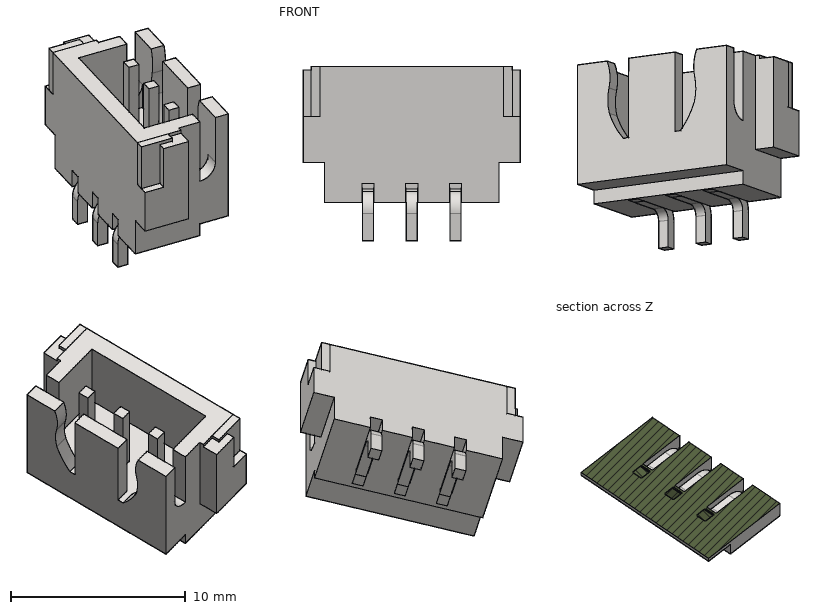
import cadquery as cq

WIDTH = 12.45
DEPTH = 6.0
HEIGHT = 7.8

BODY_WIDTH = 10.01
BACK_STEP_HEIGHT = 0.8

CAVITY_WIDTH = 8.19
CAVITY_FRONT = 1.06
CAVITY_FLOOR = 3.15

BACK_WALL = 0.83
REAR_SLOT_WIDTH = 1.0
REAR_SLOT_FLOOR = 3.74

MIDDLE_TONGUE_HALF = 1.56
SIDE_TONGUE_EDGE = 3.0

SWELL = 0.19
SWELL_DROP = 0.81
WAIST_START = 0.12
WAIST_START_DROP = 1.59
FLARE_START = 0.15
FLARE_START_DROP = 3.09
FLARE_MIDDLE = 0.52
FLARE_MIDDLE_DROP = 3.88
FLARE_END = 1.08

EAR_DEPTH = 2.81
EAR_BOTTOM = 2.29
EAR_TOP = 7.6
EAR_NOTCH_DEPTH = 1.2
SHOULDER_WIDTH = 10.53

TAB_THICKNESS = 0.5
TAB_DEPTH = 1.99
TAB_BOTTOM = 4.94

PIN_COUNT = 3
PIN_PITCH = 2.5
PIN_SIZE = 0.65
CONTACT_TIP = 7.6
CONTACT_FRONT = 3.3
TAIL_LENGTH = 2.19
BEND_INNER = 0.62
HEEL_RADIUS = 0.62
BEND_OUTER = BEND_INNER + PIN_SIZE

RELIEF_WIDTH = 0.71
RELIEF_HEIGHT = 1.11
RELIEF_DEPTH = 3.06

WALL_BACK_INNER = DEPTH - BACK_WALL
SLOT_FRONT = WALL_BACK_INNER - REAR_SLOT_WIDTH
PIN_XS = [(i - (PIN_COUNT - 1) / 2) * PIN_PITCH for i in range(PIN_COUNT)]


def block(x0, x1, y0, y1, z0, z1):
    """Box between two opposite corners."""
    return cq.Workplane("XY").box(x1 - x0, y1 - y0, z1 - z0, centered=False).translate((x0, y0, z0))


def centred_block(width, y0, y1, z0, z1):
    """Box that is symmetric about X = 0."""
    return block(-width / 2, width / 2, y0, y1, z0, z1)


def both_sides(shape):
    """The shape together with its mirror image across X = 0."""
    return shape.union(shape.mirror("YZ"))


def make_contact(x):
    """Straight square contact that stands in the cavity and reaches down to the underside."""
    return block(x - PIN_SIZE / 2, x + PIN_SIZE / 2, CONTACT_FRONT, CONTACT_FRONT + PIN_SIZE, 0, CONTACT_TIP)


def make_tail(x):
    """Square tail: curved heel against the contact, run along the underside, end bent down."""
    side = (
        cq.Workplane("YZ")
        .moveTo(0, -TAIL_LENGTH)
        .lineTo(0, -BEND_INNER)
        .radiusArc((BEND_OUTER, PIN_SIZE), BEND_OUTER)
        .lineTo(CONTACT_FRONT - HEEL_RADIUS, PIN_SIZE)
        .radiusArc((CONTACT_FRONT, PIN_SIZE + HEEL_RADIUS), -HEEL_RADIUS)
        .lineTo(CONTACT_FRONT, 0)
        .lineTo(BEND_OUTER, 0)
        .radiusArc((PIN_SIZE, -BEND_INNER), -BEND_INNER)
        .lineTo(PIN_SIZE, -TAIL_LENGTH)
        .close()
    )
    return side.extrude(PIN_SIZE / 2, both=True).translate((x, 0, 0))


def make_tab():
    """Flat tab on the +X side, flush with the front and the top of the housing."""
    inner = SHOULDER_WIDTH / 2
    return block(inner, inner + TAB_THICKNESS, 0, TAB_DEPTH, TAB_BOTTOM, HEIGHT)


def make_ears():
    """Side ears with the shoulders that rise to full height and the notched front corners."""
    ears = centred_block(WIDTH, 0, EAR_DEPTH, EAR_BOTTOM, EAR_TOP)
    shoulders = centred_block(SHOULDER_WIDTH, 0, EAR_DEPTH, EAR_BOTTOM, HEIGHT)
    notch_inner = SHOULDER_WIDTH / 2 + TAB_THICKNESS
    notch = block(notch_inner, WIDTH / 2, 0, EAR_NOTCH_DEPTH, TAB_BOTTOM, HEIGHT)
    return ears.cut(both_sides(notch)).union(shoulders)


def rear_window():
    """Window beside the middle tongue; the side tongue's edge swells, narrows and then flares."""
    edge = SIDE_TONGUE_EDGE
    profile = (
        cq.Workplane("XZ")
        .moveTo(MIDDLE_TONGUE_HALF, CAVITY_FLOOR)
        .lineTo(MIDDLE_TONGUE_HALF, HEIGHT)
        .lineTo(edge, HEIGHT)
        .threePointArc((edge - SWELL, HEIGHT - SWELL_DROP), (edge - WAIST_START, HEIGHT - WAIST_START_DROP))
        .tangentArcPoint((edge - FLARE_START, HEIGHT - FLARE_START_DROP), relative=False)
        .threePointArc((edge - FLARE_MIDDLE, HEIGHT - FLARE_MIDDLE_DROP), (edge - FLARE_END, CAVITY_FLOOR))
        .close()
    )
    return profile.extrude(-BACK_WALL).translate((0, WALL_BACK_INNER, 0))


def rear_slot():
    """Slot across the full width in front of the rear wall, rounded where it meets that wall."""
    r = REAR_SLOT_WIDTH
    profile = (
        cq.Workplane("YZ")
        .moveTo(SLOT_FRONT, REAR_SLOT_FLOOR)
        .radiusArc((WALL_BACK_INNER, REAR_SLOT_FLOOR + r), -r)
        .lineTo(WALL_BACK_INNER, HEIGHT)
        .lineTo(SLOT_FRONT, HEIGHT)
        .close()
    )
    return profile.extrude(BODY_WIDTH / 2, both=True)


def make_housing(fitted_parts):
    """Housing with recesses that match the bodies fitted into it."""
    body = centred_block(BODY_WIDTH, 0, DEPTH, 0, HEIGHT)
    body = body.cut(centred_block(BODY_WIDTH, SLOT_FRONT, DEPTH, 0, BACK_STEP_HEIGHT))
    body = body.union(make_ears())
    body = body.cut(centred_block(CAVITY_WIDTH, CAVITY_FRONT, WALL_BACK_INNER, CAVITY_FLOOR, HEIGHT))
    body = body.cut(rear_slot())
    body = body.cut(both_sides(rear_window()))
    for x in PIN_XS:
        body = body.cut(centred_block(RELIEF_WIDTH, 0, RELIEF_DEPTH, 0, RELIEF_HEIGHT).translate((x, 0, 0)))
    for part in fitted_parts:
        body = body.cut(part)
    return body


contacts = [make_contact(x) for x in PIN_XS]
tails = [make_tail(x) for x in PIN_XS]
right_tab = make_tab()
tabs = [right_tab, right_tab.mirror("YZ")]
fitted_parts = contacts + tails + tabs
housing = make_housing(fitted_parts)

result = cq.Compound.makeCompound([housing.val(), *[part.val() for part in fitted_parts]])